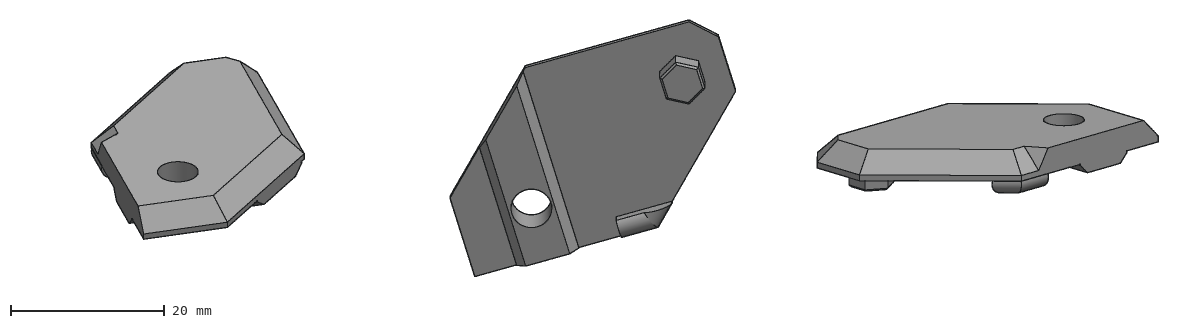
import cadquery as cq
import math

length = 39.9
width = 25.9
thickness = 3.5
bevel = 2.7
rim_height = thickness - bevel
front_corner_x = 14.92
right_corner_y = 11.35
left_corner_cut = 3.07

notch_end_low = 18.07
notch_end_high = 19.8

hole_diameter = 5.3
hole_x = 29.95
hole_y = 7.45
ridge_depth = 1.45
ridge_edge_height = 0.2
ridge_width = 8.45

peg_x = 6.05
peg_y = 18.87
peg_across_corners = 6.05
peg_length = 2.8
peg_chamfer = 0.28

bead_diameter = 3.05
bead_depth = 2.0
bead_end_x = 19.87
bead_reach_y = 2.7


def plate_outline():
    return cq.Workplane("XY").polyline([
        (front_corner_x, 0),
        (length, 0),
        (length, right_corner_y),
        (length - (width - right_corner_y), width),
        (left_corner_cut, width),
        (0, width - left_corner_cut),
        (0, front_corner_x),
    ]).close()


def make_plate():
    plate = plate_outline().extrude(thickness)
    beveled_edges = plate.faces(">Z").edges("not <Y")
    return beveled_edges.chamfer(bevel)


def make_notch():
    """Wedge that bevels the left end of the front edge."""
    start_low = (0, 0, rim_height)
    start_front = (0, 0, thickness)
    start_back = (0, bevel, thickness)
    end_low = (notch_end_low, 0, rim_height)
    end_front = (notch_end_high, 0, thickness)
    end_back = (notch_end_low, bevel, thickness)
    face_corners = [
        (start_low, start_front, start_back),
        (end_low, end_back, end_front),
        (start_low, end_low, end_front, start_front),
        (start_front, end_front, end_back, start_back),
        (start_back, end_back, end_low, start_low),
    ]
    faces = []
    for corners in face_corners:
        wire = cq.Wire.makePolygon([cq.Vector(*corner) for corner in corners], close=True)
        faces.append(cq.Face.makeFromWires(wire))
    return cq.Workplane(cq.Solid.makeSolid(cq.Shell.makeShell(faces)))


def make_ridge():
    """Ridge with 45 degree flanks, running along Y and ending at the plate outline."""
    half_top = ridge_width / 2
    half_bottom = half_top - (ridge_depth - ridge_edge_height)
    bar = cq.Workplane("XZ").polyline([
        (hole_x - half_top, 0),
        (hole_x - half_top, -ridge_edge_height),
        (hole_x - half_bottom, -ridge_depth),
        (hole_x + half_bottom, -ridge_depth),
        (hole_x + half_top, -ridge_edge_height),
        (hole_x + half_top, 0),
    ]).close().extrude(-width)
    return bar.intersect(plate_outline().extrude(-ridge_depth))


def make_peg():
    peg = cq.Workplane("XY").polygon(6, peg_across_corners).extrude(-peg_length)
    peg = peg.faces("<Z").chamfer(peg_chamfer)
    return peg.rotate((0, 0, 0), (0, 0, 1), 90).translate((peg_x, peg_y, 0))


def make_bead():
    """Flat-topped round bar along the front edge, turning onto the long diagonal edge."""
    radius = bead_diameter / 2
    axis_depth = bead_depth - radius
    half_chord = math.sqrt(radius ** 2 - axis_depth ** 2)
    corner_x = front_corner_x + radius * (math.sqrt(2) - 1)
    overrun = bead_reach_y + bead_diameter
    path = cq.Workplane("XY").polyline([
        (bead_end_x, radius),
        (corner_x, radius),
        (corner_x - overrun, radius + overrun),
    ])
    profile = (
        cq.Workplane("YZ", origin=(bead_end_x, radius, 0))
        .moveTo(-half_chord, 0)
        .threePointArc((0, -bead_depth), (half_chord, 0))
        .close()
    )
    bar = profile.sweep(path, transition="right")
    front_strip = cq.Workplane("XY").box(length, bead_reach_y, bead_depth, centered=False)
    return bar.intersect(front_strip.translate((0, 0, -bead_depth)))


hole = (
    cq.Workplane("XY", origin=(hole_x, hole_y, -ridge_depth))
    .circle(hole_diameter / 2)
    .extrude(ridge_depth + thickness)
)

result = make_plate().cut(make_notch())
for feature in (make_ridge(), make_peg(), make_bead()):
    result = result.union(feature)
result = result.cut(hole)